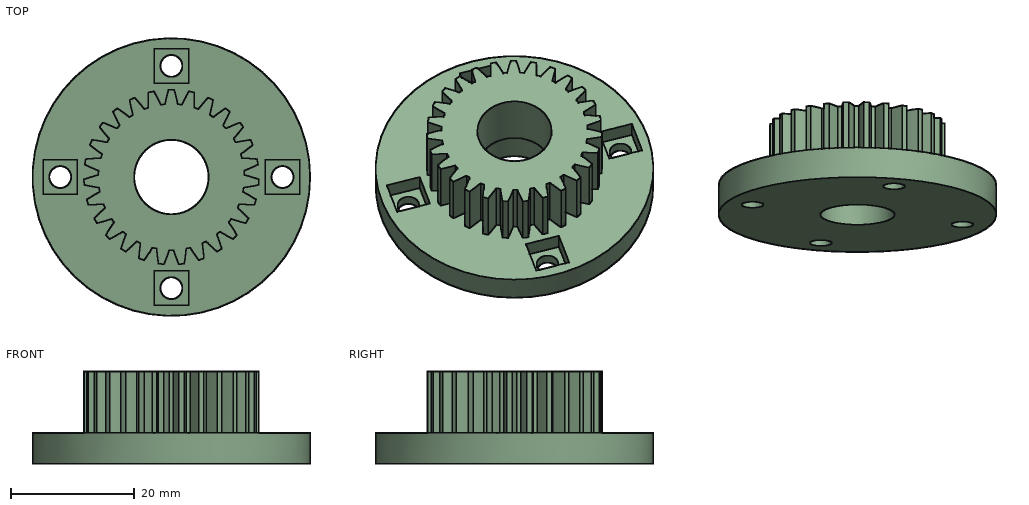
import cadquery as cq
import math

flange_diameter = 45
flange_thickness = 5.0
bore_diameter = 12.0

fastener_count = 4
fastener_circle_radius = 18
bolt_hole_diameter = 3.5
nut_pocket_side = 5.6
nut_pocket_depth = 3.0

gear_height = 10.0
tooth_count = 27
root_radius = 11.8
tip_radius = 14.18
tooth_root_width = 2.05
tooth_middle_width = 1.55
tooth_tip_width = 0.9
middle_radius = (root_radius + tip_radius) / 2


def fastener_layout(plane_z):
    """Workplane with one point per bolt, spread evenly around the flange."""
    return (
        cq.Workplane("XY")
        .workplane(offset=plane_z)
        .polarArray(fastener_circle_radius, 0, 360, fastener_count)
    )


def make_flange():
    """Round plate with a central bore, bolt holes and square nut pockets."""
    plate = (
        cq.Workplane("XY")
        .circle(flange_diameter / 2)
        .circle(bore_diameter / 2)
        .extrude(flange_thickness)
    )
    bolt_holes = fastener_layout(0).circle(bolt_hole_diameter / 2).extrude(flange_thickness)
    pocket_floor = flange_thickness - nut_pocket_depth
    nut_pockets = (
        fastener_layout(pocket_floor)
        .rect(nut_pocket_side, nut_pocket_side)
        .extrude(nut_pocket_depth)
    )
    return plate.cut(bolt_holes).cut(nut_pockets)


def tooth_point(tooth_index, across, outward):
    """Point on a tooth: sideways from its centre line and outward from the gear axis."""
    turn = tooth_index * 2 * math.pi / tooth_count
    x = across * math.cos(turn) + outward * math.sin(turn)
    y = outward * math.cos(turn) - across * math.sin(turn)
    return (x, y)


def make_gear():
    """Bored gear with slightly bulged tooth flanks; the first tooth points along +Y."""
    outline = cq.Workplane("XY", origin=(0, 0, flange_thickness))
    outline = outline.moveTo(*tooth_point(0, -tooth_root_width / 2, root_radius))
    for i in range(tooth_count):
        outline = outline.threePointArc(
            tooth_point(i, -tooth_middle_width / 2, middle_radius),
            tooth_point(i, -tooth_tip_width / 2, tip_radius),
        )
        outline = outline.lineTo(*tooth_point(i, tooth_tip_width / 2, tip_radius))
        outline = outline.threePointArc(
            tooth_point(i, tooth_middle_width / 2, middle_radius),
            tooth_point(i, tooth_root_width / 2, root_radius),
        )
        if i < tooth_count - 1:
            outline = outline.lineTo(*tooth_point(i + 1, -tooth_root_width / 2, root_radius))
    blank = outline.close().extrude(gear_height)
    bore = (
        cq.Workplane("XY", origin=(0, 0, flange_thickness))
        .circle(bore_diameter / 2)
        .extrude(gear_height)
    )
    return blank.cut(bore)


flange = make_flange()
gear = make_gear()

result = cq.Compound.makeCompound([flange.val(), gear.val()])